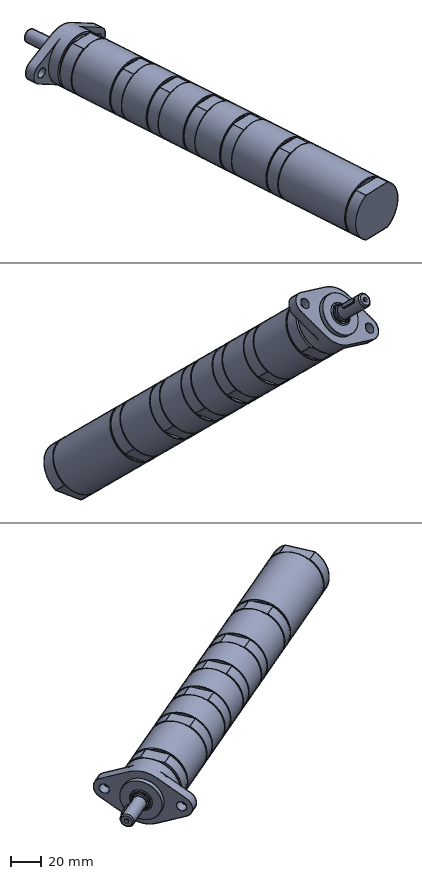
import cadquery as cq
import math

LENGTH = 308.7
COLLAR_START = 22.8
PILOT_START = 25.5
FLANGE_START = 29.0
FLANGE_END = 36.5
NECK_START = 44.8
NECK_END = 46.5
END_CAP_START = 299.5

BODY_DIAMETER = 41.5
NECK_DIAMETER = 38.0
SECTION_CHAMFER = 0.5
STAGE_START_CHAMFER = 0.3

RING_LENGTH = 10.0
RING_FLAT_DISTANCE = 37.7
STAGE_COUNT = 4
FIRST_STAGE_RING = 91.0
LAST_STAGE_RING = 188.5
STAGE_PITCH = (LAST_STAGE_RING - FIRST_STAGE_RING) / (STAGE_COUNT - 1)
LAST_RING = 229.7
END_CAP_FLAT_DISTANCE = 35.5

FLANGE_LENGTH = 70.0
FLANGE_LOBE_DIAMETER = 16.0
FLANGE_HOLE_DIAMETER = 7.0
FLANGE_HOLE_SPACING = 54.5
PILOT_DIAMETER = 30.0
SEAL_LIP_DIAMETER = 16.0
SEAL_LIP_FACE_DIAMETER = 14.0
SEAL_LIP_HEIGHT = 0.45

SHAFT_DIAMETER = 10.0
SHAFT_CHAMFER = 1.0
COLLAR_DIAMETER = 12.0
COLLAR_CHAMFER = 0.77
CENTRE_HOLE_DIAMETER = 1.6
CENTRE_HOLE_DEPTH = 3.0
COUNTERSINK_DIAMETER = 3.0
COUNTERSINK_ANGLE = 60

KEY_START = 5.0
KEY_LENGTH = 12.0
KEY_WIDTH = 3.0
KEY_TOP = 6.0
KEY_FLOOR = 3.0


def cylinder(diameter, start, end):
    """Cylinder on the X axis between two stations."""
    return cq.Workplane("YZ", origin=(start, 0, 0)).circle(diameter / 2).extrude(end - start)


def plain_section(start, end, start_chamfer):
    """Round length of the body, chamfered where it meets its neighbours."""
    section = cylinder(BODY_DIAMETER, start, end).faces("<X").chamfer(start_chamfer)
    return section.faces(">X").chamfer(SECTION_CHAMFER)


def flatted_section(start, end, flat_distance):
    """Length of the body with a flat on its upper and lower sides."""
    slab = cq.Workplane("XY").box(2 * LENGTH, BODY_DIAMETER, flat_distance)
    return cylinder(BODY_DIAMETER, start, end).intersect(slab)


def make_body():
    """Housing: alternating flatted rings and plain sections, closed by the end cap."""
    ring_starts = [NECK_END]
    ring_starts += [FIRST_STAGE_RING + i * STAGE_PITCH for i in range(STAGE_COUNT)]
    ring_starts.append(LAST_RING)
    section_ends = ring_starts[1:] + [END_CAP_START]
    start_chamfers = [SECTION_CHAMFER] + [STAGE_START_CHAMFER] * STAGE_COUNT + [SECTION_CHAMFER]

    body = cylinder(BODY_DIAMETER, FLANGE_START, NECK_START)
    body = body.union(cylinder(NECK_DIAMETER, NECK_START, NECK_END))
    for ring_start, section_end, start_chamfer in zip(ring_starts, section_ends, start_chamfers):
        ring_end = ring_start + RING_LENGTH
        body = body.union(flatted_section(ring_start, ring_end, RING_FLAT_DISTANCE))
        body = body.union(plain_section(ring_end, section_end, start_chamfer))
    return body.union(flatted_section(END_CAP_START, LENGTH, END_CAP_FLAT_DISTANCE))


def make_flange():
    """Two-hole flange whose straight sides are tangent to the body and to the end lobes."""
    body_radius = BODY_DIAMETER / 2
    lobe_radius = FLANGE_LOBE_DIAMETER / 2
    tip_y = FLANGE_LENGTH / 2
    lobe_centre_y = tip_y - lobe_radius
    lean = math.asin((body_radius - lobe_radius) / lobe_centre_y)
    body_y = body_radius * math.sin(lean)
    body_z = body_radius * math.cos(lean)
    lobe_y = lobe_centre_y + lobe_radius * math.sin(lean)
    lobe_z = lobe_radius * math.cos(lean)
    plate = (
        cq.Workplane("YZ", origin=(FLANGE_START, 0, 0))
        .moveTo(-body_y, body_z)
        .lineTo(body_y, body_z)
        .lineTo(lobe_y, lobe_z)
        .threePointArc((tip_y, 0), (lobe_y, -lobe_z))
        .lineTo(body_y, -body_z)
        .lineTo(-body_y, -body_z)
        .lineTo(-lobe_y, -lobe_z)
        .threePointArc((-tip_y, 0), (-lobe_y, lobe_z))
        .close()
        .extrude(FLANGE_END - FLANGE_START)
    )
    holes = [(-FLANGE_HOLE_SPACING / 2, 0), (FLANGE_HOLE_SPACING / 2, 0)]
    return plate.faces("<X").workplane(origin=(0, 0, 0)).pushPoints(holes).hole(FLANGE_HOLE_DIAMETER)


def make_pilot():
    """Locating boss in front of the flange, with a low conical lip around the shaft."""
    pilot = cylinder(PILOT_DIAMETER, PILOT_START, FLANGE_START)
    lip = cq.Solid.makeCone(
        SEAL_LIP_DIAMETER / 2,
        SEAL_LIP_FACE_DIAMETER / 2,
        SEAL_LIP_HEIGHT,
        pnt=cq.Vector(PILOT_START, 0, 0),
        dir=cq.Vector(-1, 0, 0),
    )
    return pilot.union(cq.Workplane(lip))


def make_shaft():
    """Shaft with a collar at its root, a centre hole in its tip and a round-ended key."""
    shaft = cylinder(SHAFT_DIAMETER, 0, FLANGE_START).faces("<X").chamfer(SHAFT_CHAMFER)
    collar = cylinder(COLLAR_DIAMETER, COLLAR_START, FLANGE_START).faces("<X").chamfer(COLLAR_CHAMFER)
    key = (
        cq.Workplane("XZ", origin=(KEY_START + KEY_LENGTH / 2, KEY_TOP, 0))
        .slot2D(KEY_LENGTH, KEY_WIDTH)
        .extrude(KEY_TOP - KEY_FLOOR)
    )
    shaft = shaft.union(collar).union(key)
    return (
        shaft.faces("<X")
        .workplane(origin=(0, 0, 0))
        .cskHole(CENTRE_HOLE_DIAMETER, COUNTERSINK_DIAMETER, COUNTERSINK_ANGLE, CENTRE_HOLE_DEPTH)
    )


result = make_body().union(make_flange()).union(make_pilot()).union(make_shaft())